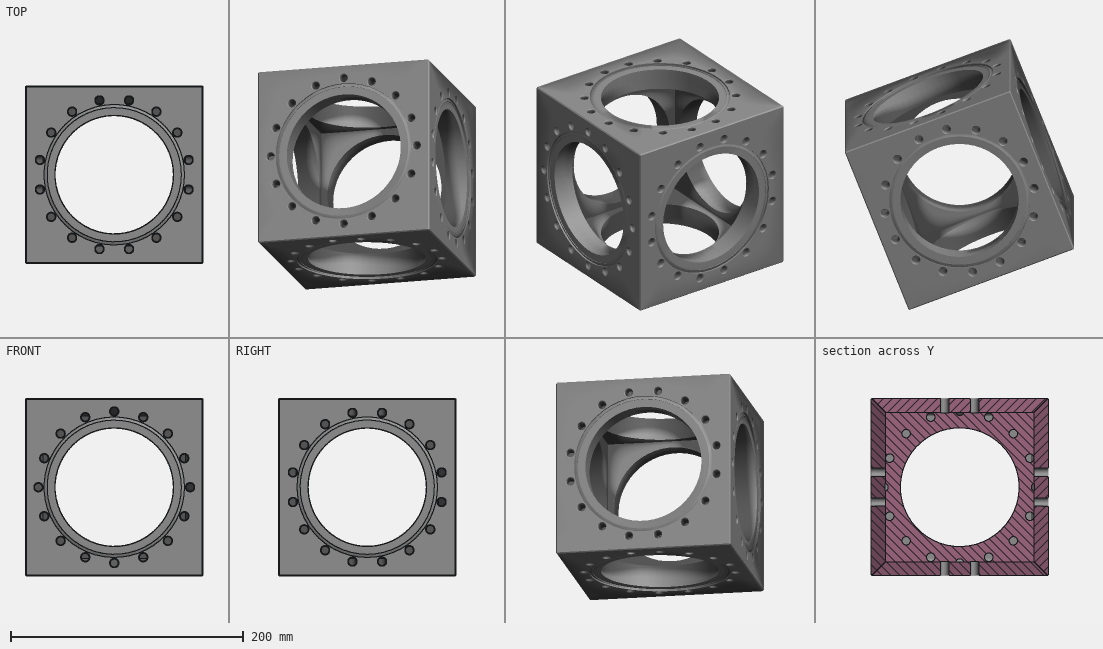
import cadquery as cq

CUBE_SIDE = 152.5
PLATE_THICKNESS = 20.0
MITRE_ANGLE = 45.0
EDGE_CHAMFER = 0.9

BORE_DIAMETER = 101.5
RECESS_DIAMETER = 120.6
KNIFE_DIAMETER = 115.3
RECESS_DEPTH = 1.5
KNIFE_HEIGHT = 0.9
LAND_DEPTH = 1.2

BOLT_COUNT = 16
BOLT_CIRCLE_DIAMETER = 130.2
BOLT_HOLE_DIAMETER = 6.9
BOLT_MOUTH_DIAMETER = 8.0
BOLT_HOLE_DEPTH = 15.0

HALF_SIDE = CUBE_SIDE / 2
HALF_PITCH = 360.0 / BOLT_COUNT / 2
ORIGIN = (0, 0, 0)
X_AXIS = (1, 0, 0)
Y_AXIS = (0, 1, 0)

PLATE_PLACES = [
    (X_AXIS, 0, HALF_PITCH),
    (X_AXIS, 180, HALF_PITCH),
    (X_AXIS, 90, 0),
    (X_AXIS, -90, 0),
    (Y_AXIS, -90, HALF_PITCH),
    (Y_AXIS, 90, HALF_PITCH),
]


def inward_from_top():
    """Workplane on the outer face of the top plate, pointing into the cube."""
    return cq.Workplane(cq.Plane(origin=(0, 0, HALF_SIDE), xDir=X_AXIS, normal=(0, 0, -1)))


def revolve_profile(points):
    """Solid of revolution about Z from (radius, height) points."""
    return cq.Workplane("XZ").polyline(points).close().revolve(360, ORIGIN, Y_AXIS)


def mitred_blank():
    """Top plate with mitred sides, narrowing inwards, and the chamfered edges of the cube."""
    tapered = inward_from_top().rect(CUBE_SIDE, CUBE_SIDE).extrude(PLATE_THICKNESS, taper=MITRE_ANGLE)
    envelope = cq.Workplane("XY").box(CUBE_SIDE, CUBE_SIDE, CUBE_SIDE).edges().chamfer(EDGE_CHAMFER)
    return tapered.intersect(envelope)


def bore_cut():
    return inward_from_top().circle(BORE_DIAMETER / 2).extrude(PLATE_THICKNESS)


def knife_edge_recess():
    floor = HALF_SIDE - RECESS_DEPTH
    knife_tip = floor + KNIFE_HEIGHT
    land = HALF_SIDE - LAND_DEPTH
    return revolve_profile([
        (0, HALF_SIDE),
        (RECESS_DIAMETER / 2, HALF_SIDE),
        (RECESS_DIAMETER / 2, floor),
        (KNIFE_DIAMETER / 2, knife_tip),
        (KNIFE_DIAMETER / 2, land),
        (0, land),
    ])


def bolt_holes(first_angle):
    mouth_radius = BOLT_MOUTH_DIAMETER / 2
    hole_radius = BOLT_HOLE_DIAMETER / 2
    mouth_depth = mouth_radius - hole_radius
    hole_floor = HALF_SIDE - BOLT_HOLE_DEPTH
    hole = revolve_profile([
        (0, HALF_SIDE),
        (mouth_radius, HALF_SIDE),
        (hole_radius, HALF_SIDE - mouth_depth),
        (hole_radius, hole_floor),
        (0, hole_floor),
    ]).val()
    centres = cq.Workplane("XY").polarArray(BOLT_CIRCLE_DIAMETER / 2, first_angle, 360, BOLT_COUNT)
    return centres.eachpoint(lambda place: hole.moved(place))


def mitred_plate(axis, turn, first_bolt_angle):
    plate = mitred_blank().cut(bore_cut()).cut(knife_edge_recess()).cut(bolt_holes(first_bolt_angle))
    return plate.rotate(ORIGIN, axis, turn)


plates = [mitred_plate(*place) for place in PLATE_PLACES]

result = cq.Compound.makeCompound([plate.val() for plate in plates])